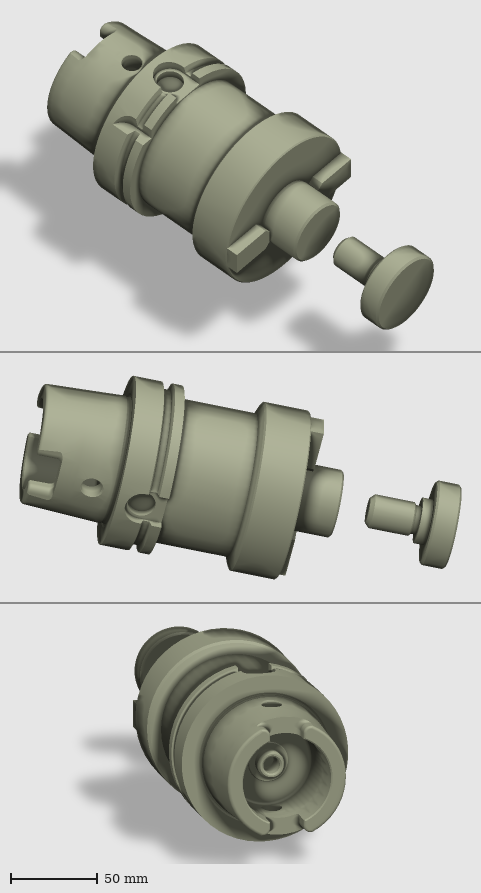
import cadquery as cq

shank_length = 50.0
taper_length = 47.5
shank_end_radius = 35.5
shank_root_radius = 37.8
shank_end_fillet = 1.8
undercut_depth = 0.5
undercut_slope_length = 0.8
undercut_flat_end = 49.2
undercut_face_inner_radius = 38.8
undercut_face_outer_radius = 39.8

bore_mouth_radius = 26.5
bore_mouth_chamfer = 0.8
bore_radius = 26.0
bore_mouth_length = 19.2
bore_depth = 43.8
bore_floor_fillet = 1.5
nut_diameter = 24.0
nut_chamfer = 0.5
nut_end = 42.5
tube_diameter = 16.0
tube_tip_diameter = 14.0
tube_end = 34.2
tube_taper_end = 37.0
tube_bore_diameter = 10.0
tube_mouth_diameter = 12.0
tube_bore_length = 15.0

drive_slot_width = 20.2
drive_shelf_height = 32.0
drive_shoulder_radius = 4.0
drive_floor_fillet = 2.5
drive_mouth_fillet = 1.5
drive_slot_depths = {1: 10.2, -1: 14.8}

access_hole_diameter = 12.0
access_hole_x = 35.0
access_countersink_height = 36.5
access_hole_inner = 20.0
access_hole_outer = 40.0

flange_radius = 50.0
flange_length = 29.0
groove_center = shank_length + 20.0
groove_mouth_width = 6.5
groove_floor_width = 3.8
groove_floor_radius = 46.0

keyway_width = 20.0
keyway_center_x = shank_length + 15.0
keyway_floor_height = 43.5
keyway_hole_diameter = 16.0
keyway_hole_depth = 5.0
notch_wall = 31.5

neck_radius = 42.5
neck_end = 124.2
collar_radius = 50.0
collar_cone_radius = 48.5
collar_cone_end = 126.8
collar_start = 127.8
collar_end = 154.5
collar_rim_chamfer = 0.8
pilot_radius = 20.0
pilot_length = 26.5
pilot_chamfer = 1.2
relief_radius = 19.8
relief_length = 2.0

key_width = 16.0
key_height = 7.5
key_inner = 21.0
key_outer = 49.2
key_chamfer = 3.5

screw_tip = 199.5
thread_radius = 10.0
thread_chamfer = 2.5
thread_end = 225.5
screw_neck_radius = 8.5
screw_neck_start = 226.8
shoulder_start = 229.5
shoulder_radius = 13.5
head_start = 235.5
head_end = 250.0
head_radius = 25.0
head_chamfer = 1.2

flange_end = shank_length + flange_length
pilot_end = collar_end + pilot_length
bore_rim_radius = bore_mouth_radius + bore_mouth_chamfer


def turned(profile):
    """Revolve a closed (x, radius) outline about the X axis."""
    return cq.Workplane("XY").polyline(profile).close().revolve(360, (0, 0, 0), (1, 0, 0))


def make_turned_body():
    groove_mouth_half = groove_mouth_width / 2
    groove_floor_half = groove_floor_width / 2
    undercut_radius = shank_root_radius - undercut_depth
    profile = [
        (0, 0),
        (0, shank_end_radius),
        (taper_length, shank_root_radius),
        (taper_length + undercut_slope_length, undercut_radius),
        (undercut_flat_end, undercut_radius),
        (shank_length + undercut_depth, shank_root_radius),
        (shank_length + undercut_depth, undercut_face_inner_radius),
        (shank_length, undercut_face_outer_radius),
        (shank_length, flange_radius),
        (groove_center - groove_mouth_half, flange_radius),
        (groove_center - groove_floor_half, groove_floor_radius),
        (groove_center + groove_floor_half, groove_floor_radius),
        (groove_center + groove_mouth_half, flange_radius),
        (flange_end, flange_radius),
        (flange_end, neck_radius),
        (neck_end, neck_radius),
        (collar_cone_end, collar_cone_radius),
        (collar_start, collar_radius),
        (collar_end - collar_rim_chamfer, collar_radius),
        (collar_end, collar_radius - collar_rim_chamfer),
        (collar_end, relief_radius),
        (collar_end + relief_length, relief_radius),
        (collar_end + relief_length, pilot_radius),
        (pilot_end - pilot_chamfer, pilot_radius),
        (pilot_end, pilot_radius - pilot_chamfer),
        (pilot_end, 0),
    ]
    return turned(profile).faces("<X").edges().fillet(shank_end_fillet)


def make_shank_bore():
    """Hollow of the shank, leaving the coolant tube and its nut standing on the floor."""
    hollow = turned([
        (0, 0),
        (0, bore_rim_radius),
        (bore_mouth_chamfer, bore_mouth_radius),
        (bore_mouth_length, bore_radius),
        (bore_depth, bore_radius),
        (bore_depth, 0),
    ])
    hollow = hollow.faces(">X").edges().fillet(bore_floor_fillet)
    nut_radius = nut_diameter / 2
    tube_radius = tube_diameter / 2
    nut_and_tube = turned([
        (tube_end, 0),
        (tube_end, tube_tip_diameter / 2),
        (tube_taper_end, tube_radius),
        (nut_end, tube_radius),
        (nut_end, nut_radius - nut_chamfer),
        (nut_end + nut_chamfer, nut_radius),
        (bore_depth, nut_radius),
        (bore_depth, 0),
    ])
    tube_mouth_chamfer = (tube_mouth_diameter - tube_bore_diameter) / 2
    tube_bore = turned([
        (tube_end, 0),
        (tube_end, tube_mouth_diameter / 2),
        (tube_end + tube_mouth_chamfer, tube_bore_diameter / 2),
        (tube_end + tube_bore_length, tube_bore_diameter / 2),
        (tube_end + tube_bore_length, 0),
    ])
    return hollow.cut(nut_and_tube).union(tube_bore)


def make_drive_slot(side):
    """T-shaped cutter: a slot through the shank wall and a flat shelf beside it."""
    half_width = drive_slot_width / 2
    shoulder_start = drive_shelf_height - drive_shoulder_radius
    reach = flange_radius
    slot = (
        cq.Workplane("YZ")
        .moveTo(-half_width, 0)
        .lineTo(half_width, 0)
        .lineTo(half_width, shoulder_start)
        .radiusArc((half_width + drive_shoulder_radius, drive_shelf_height), drive_shoulder_radius)
        .lineTo(reach, drive_shelf_height)
        .lineTo(reach, reach)
        .lineTo(-reach, reach)
        .lineTo(-reach, drive_shelf_height)
        .lineTo(-half_width - drive_shoulder_radius, drive_shelf_height)
        .radiusArc((-half_width, shoulder_start), drive_shoulder_radius)
        .close()
        .extrude(drive_slot_depths[side])
        .faces(">X").edges().fillet(drive_floor_fillet)
    )
    plate_size = 3 * reach
    plate = cq.Workplane("YZ").rect(plate_size, plate_size).extrude(-drive_mouth_fillet)
    mouth_edges = cq.selectors.BoxSelector(
        (-drive_mouth_fillet / 2, -1.1 * reach, -1.1 * reach),
        (drive_mouth_fillet / 2, 1.1 * reach, 1.1 * reach),
    )
    cutter = slot.union(plate).edges(mouth_edges).fillet(drive_mouth_fillet)
    return cutter if side > 0 else cutter.mirror("XY")


def make_access_hole(side):
    radius = access_hole_diameter / 2
    countersink_depth = access_hole_outer - access_countersink_height
    cutter = (
        cq.Workplane("XZ")
        .polyline([
            (0, access_hole_inner),
            (radius, access_hole_inner),
            (radius, access_countersink_height),
            (radius + countersink_depth, access_hole_outer),
            (0, access_hole_outer),
        ])
        .close()
        .revolve(360, (0, 0, 0), (0, 1, 0))
        .translate((access_hole_x, 0, 0))
    )
    return cutter if side > 0 else cutter.mirror("XY")


def round_ended_slot(center_y, floor_height):
    """Cutter open toward +X and +Z, with a full-round end toward -X."""
    run = flange_end - keyway_center_x
    height = flange_radius - floor_height
    base = cq.Workplane("XY").workplane(offset=floor_height)
    straight = base.center(keyway_center_x + run / 2, center_y).rect(run, keyway_width).extrude(height)
    end = base.center(keyway_center_x, center_y).circle(keyway_width / 2).extrude(height)
    return straight.union(end)


def make_keyway(side):
    slot = round_ended_slot(0, keyway_floor_height)
    hole = (
        cq.Workplane("XY")
        .workplane(offset=keyway_floor_height - keyway_hole_depth)
        .center(keyway_center_x, 0)
        .circle(keyway_hole_diameter / 2)
        .extrude(keyway_hole_depth)
    )
    cutter = slot.union(hole)
    return cutter if side > 0 else cutter.mirror("XY")


def make_orientation_notch():
    return round_ended_slot(-notch_wall - keyway_width / 2, notch_wall)


def make_driving_key(side):
    overlap = relief_length
    key = (
        cq.Workplane("XY")
        .box(key_height + overlap, key_outer - key_inner, key_width, centered=(False, False, True))
        .translate((collar_end - overlap, key_inner, 0))
        .faces("<Y").edges("|X").chamfer(key_chamfer)
    )
    return key if side > 0 else key.mirror("XZ")


def make_holder():
    body = make_turned_body().cut(make_shank_bore())
    for side in (1, -1):
        body = body.cut(make_drive_slot(side))
        body = body.cut(make_access_hole(side)).cut(make_keyway(side))
        body = body.union(make_driving_key(side))
    return body.cut(make_orientation_notch())


def make_clamping_screw():
    return turned([
        (screw_tip, 0),
        (screw_tip, thread_radius - thread_chamfer),
        (screw_tip + thread_chamfer, thread_radius),
        (thread_end, thread_radius),
        (screw_neck_start, screw_neck_radius),
        (shoulder_start, screw_neck_radius),
        (shoulder_start, shoulder_radius),
        (head_start, shoulder_radius),
        (head_start, head_radius - head_chamfer),
        (head_start + head_chamfer, head_radius),
        (head_end - head_chamfer, head_radius),
        (head_end, head_radius - head_chamfer),
        (head_end, 0),
    ])


holder = make_holder()
clamping_screw = make_clamping_screw()

result = cq.Compound.makeCompound([*holder.solids().vals(), clamping_screw.val()])